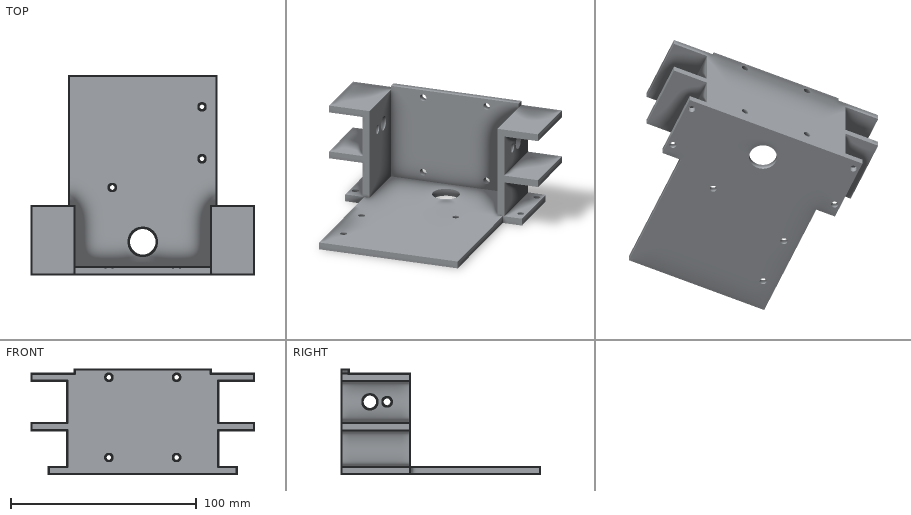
import cadquery as cq

sheet = 4.0
total_width = 119.9
total_depth = 107.0
total_height = 56.5
bracket_depth = 36.9
inner_width = 73.4
foot_width = 101.5
tongue_width = 79.5
shelf_top = 54.2
middle_shelf_top = 27.6

screw_diameter = 3.7
cable_hole_diameter = 15.0
cable_hole_y = 17.6
tongue_holes = [(31.9, 90.3), (31.9, 62.4), (-16.4, 46.9)]
front_hole_spacing = 36.5
front_hole_heights = (9.0, 52.2)
foot_hole_x = 47.5
foot_hole_depths = (4.9, 30.0)
wall_hole_z = 39.0
wall_holes = [(15.3, 7.9), (24.6, 4.9)]

outer_width = inner_width + 2 * sheet


def plate(x_start, x_end, depth, z_bottom, z_top):
    """Box running from the front face back to the given depth."""
    size = (x_end - x_start, depth, z_top - z_bottom)
    return cq.Workplane("XY").box(*size, centered=False).translate((x_start, 0, z_bottom))


def vertical_holes(points, diameter):
    """Drills through the base plate only."""
    return cq.Workplane("XY").pushPoints(points).circle(diameter / 2).extrude(sheet)


body = plate(-foot_width / 2, foot_width / 2, bracket_depth, 0, sheet)
body = body.union(plate(-tongue_width / 2, tongue_width / 2, total_depth, 0, sheet))

body = body.union(plate(-inner_width / 2, inner_width / 2, sheet, 0, total_height))

for side in (-1, 1):
    inner_x = side * inner_width / 2
    wall_x = sorted((inner_x, side * outer_width / 2))
    shelf_x = sorted((inner_x, side * total_width / 2))
    body = body.union(plate(*wall_x, bracket_depth, 0, shelf_top))
    for top in (middle_shelf_top, shelf_top):
        body = body.union(plate(*shelf_x, bracket_depth, top - sheet, top))

body = body.cut(vertical_holes([(0, cable_hole_y)], cable_hole_diameter))
body = body.cut(vertical_holes(tongue_holes, screw_diameter))
foot_holes = [(side * foot_hole_x, y) for side in (-1, 1) for y in foot_hole_depths]
body = body.cut(vertical_holes(foot_holes, screw_diameter))

front_holes = [(side * front_hole_spacing / 2, z) for side in (-1, 1) for z in front_hole_heights]
front_drills = cq.Workplane("XZ").pushPoints(front_holes).circle(screw_diameter / 2).extrude(-sheet)
body = body.cut(front_drills)

for y, diameter in wall_holes:
    drill = cq.Workplane("YZ").center(y, wall_hole_z).circle(diameter / 2)
    body = body.cut(drill.extrude(outer_width / 2, both=True))

result = body